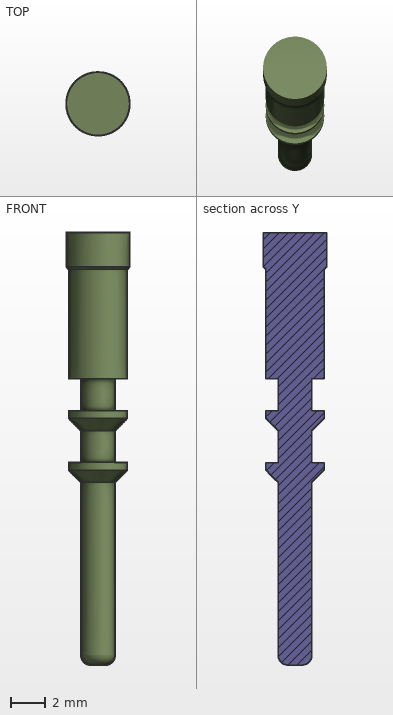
import cadquery as cq

total_length = 25.12

head_radius = 3.7 / 2
body_radius = 3.4 / 2
pin_radius = 2.0 / 2
tip_fillet = 0.6

head_length = 2.0
head_and_body_length = 8.5
collar_rim_height = 0.45
first_collar_depth = 10.35
collar_pitch = 3.0
collar_count = 2

head_cone_height = head_radius - body_radius
collar_cone_height = body_radius - pin_radius


def cylinder(radius, bottom, top):
    return cq.Workplane("XY").workplane(offset=bottom).circle(radius).extrude(top - bottom)


def cone(bottom_radius, top_radius, bottom, top):
    profile = [(0, bottom), (bottom_radius, bottom), (top_radius, top), (0, top)]
    return cq.Workplane("XZ").polyline(profile).close().revolve(360, (0, 0), (0, 1))


def make_pin():
    pin = cylinder(pin_radius, 0, total_length)
    return pin.faces("<Z").edges().fillet(tip_fillet)


def make_head():
    head_bottom = total_length - head_length
    head = cylinder(head_radius, head_bottom, total_length)
    taper = cone(body_radius, head_radius, head_bottom - head_cone_height, head_bottom)
    body = cylinder(body_radius, total_length - head_and_body_length, head_bottom)
    return head.union(taper).union(body)


def make_collar(top):
    rim_bottom = top - collar_rim_height
    rim = cylinder(body_radius, rim_bottom, top)
    taper = cone(pin_radius, body_radius, rim_bottom - collar_cone_height, rim_bottom)
    return rim.union(taper)


result = make_pin().union(make_head())
for index in range(collar_count):
    collar_top = total_length - first_collar_depth - index * collar_pitch
    result = result.union(make_collar(collar_top))